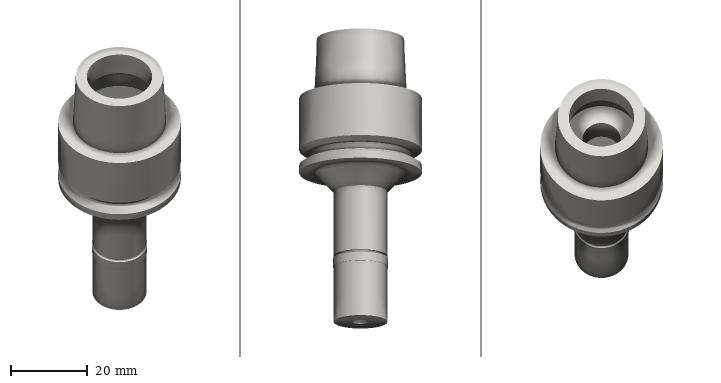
import cadquery as cq

TOTAL_HEIGHT = 76.0
COLLAR_TOP = 60.1
COLLAR_BOTTOM = 40.05
CONE_BOTTOM = 34.95

TAPER_TOP_RADIUS = 11.4
TAPER_BASE_RADIUS = 12.15

COLLAR_RADIUS = 16.0
GRIPPER_RADIUS = 13.2
GRIPPER_LIP_RADIUS = 14.4
GRIPPER_UPPER_EDGE = 46.1
GRIPPER_UPPER_FLOOR = 45.1
GRIPPER_LOWER_FLOOR = 43.0
GRIPPER_LOWER_EDGE = 42.0

CONE_TOP_RADIUS = 12.0
SHANK_RADIUS = 7.03

RING_RADIUS = 7.2
RING_BOTTOM = 14.75
RING_HEIGHT = 2.3
RING_GROOVE_RADIUS = 6.4
RING_CLEARANCE = 0.7

SOCKET_RADIUS = 8.5
SOCKET_UPPER_DEPTH = 6.5
CHAMBER_RADIUS = 10.0
SOCKET_DEPTH = 12.5
COUNTERBORE_RADIUS = 5.0
COUNTERBORE_DEPTH = 7.6
THROUGH_HOLE_RADIUS = 2.1


def cylinder(radius, bottom, height):
    """Upright cylinder on the Z axis."""
    return cq.Workplane("XY").workplane(offset=bottom).circle(radius).extrude(height)


def holder_blank():
    """Revolved outside of the holder, still solid and without the ring groove."""
    profile = [
        (0, 0),
        (SHANK_RADIUS, 0),
        (SHANK_RADIUS, CONE_BOTTOM),
        (CONE_TOP_RADIUS, COLLAR_BOTTOM),
        (COLLAR_RADIUS, COLLAR_BOTTOM),
        (COLLAR_RADIUS, GRIPPER_LOWER_EDGE),
        (GRIPPER_LIP_RADIUS, GRIPPER_LOWER_FLOOR),
        (GRIPPER_RADIUS, GRIPPER_LOWER_FLOOR),
        (GRIPPER_RADIUS, GRIPPER_UPPER_FLOOR),
        (GRIPPER_LIP_RADIUS, GRIPPER_UPPER_FLOOR),
        (COLLAR_RADIUS, GRIPPER_UPPER_EDGE),
        (COLLAR_RADIUS, COLLAR_TOP),
        (TAPER_BASE_RADIUS, COLLAR_TOP),
        (TAPER_TOP_RADIUS, TOTAL_HEIGHT),
        (0, TOTAL_HEIGHT),
    ]
    return cq.Workplane("XZ").polyline(profile).close().revolve(360, (0, 0), (0, 1))


def stepped_bore():
    """Socket, widened chamber, counterbore and through hole, as one cutter."""
    chamber_top = TOTAL_HEIGHT - SOCKET_UPPER_DEPTH
    socket_floor = TOTAL_HEIGHT - SOCKET_DEPTH
    counterbore_floor = socket_floor - COUNTERBORE_DEPTH
    through_hole = cylinder(THROUGH_HOLE_RADIUS, 0, TOTAL_HEIGHT)
    counterbore = cylinder(COUNTERBORE_RADIUS, counterbore_floor, TOTAL_HEIGHT - counterbore_floor)
    chamber = cylinder(CHAMBER_RADIUS, socket_floor, chamber_top - socket_floor)
    socket = cylinder(SOCKET_RADIUS, socket_floor, SOCKET_DEPTH)
    return through_hole.union(counterbore).union(chamber).union(socket)


def ring_groove():
    """Groove around the shank, leaving clearance above the ring."""
    height = RING_HEIGHT + RING_CLEARANCE
    core = cylinder(RING_GROOVE_RADIUS, RING_BOTTOM, height)
    return cylinder(RING_RADIUS, RING_BOTTOM, height).cut(core)


def make_holder():
    """Tool holder with its bore and ring groove."""
    return holder_blank().cut(stepped_bore()).cut(ring_groove())


def make_ring():
    """Ring seated on the lower side of the shank groove."""
    core = cylinder(RING_GROOVE_RADIUS, RING_BOTTOM, RING_HEIGHT)
    return cylinder(RING_RADIUS, RING_BOTTOM, RING_HEIGHT).cut(core)


holder = make_holder()
ring = make_ring()
result = cq.Compound.makeCompound([holder.val(), ring.val()])